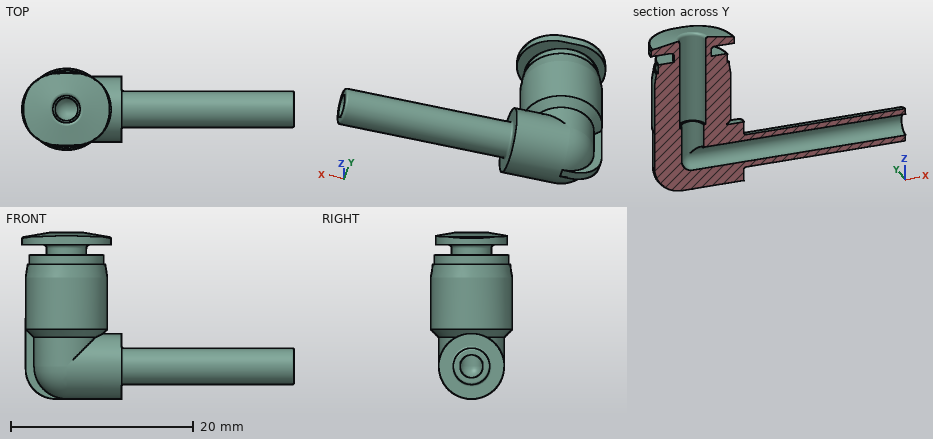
import cadquery as cq

elbow_radius = 3.603
elbow_face_x = 6.05

body_radius = 4.5
body_bottom_z = 4.07
body_top_z = 9.75
shoulder_z = 11.18
shoulder_radius = 4.28
collar_radius = 4.1
collar_top_z = 12.25
collar_edge = 0.1

neck_radius = 2.198
flare_radius = 0.4
flange_bottom_z = 13.35
flange_top_z = 14.695
flange_length = 9.8
flange_width = 7.9
flange_rim_radius = flange_length / 2
flange_rim_z = 14.05
flange_slope_radius = 4.72
flange_slope_z = 14.2
mouth_radius = 1.82

rib_width = 1.0
rib_corner_radius = 3.32

stem_radius = 2.0
stem_end_x = 29.9 - flange_length / 2
stem_fillet = 0.25

socket_bore_radius = 1.5
passage_radius = 1.25
bore_floor_z = body_bottom_z


def revolve_about_z(points):
    """Revolve a closed (radius, height) outline about the vertical axis."""
    outline = cq.Workplane("XZ").polyline(points).close()
    return outline.revolve(360, (0, 0, 0), (0, 1, 0))


def rod_along_x(radius, start_x, end_x):
    return cq.Workplane("YZ").workplane(offset=start_x).circle(radius).extrude(end_x - start_x)


def rod_along_z(radius, bottom_z, top_z):
    return cq.Workplane("XY").workplane(offset=bottom_z).circle(radius).extrude(top_z - bottom_z)


def make_bend(radius, top_z, end_x):
    """Vertical and horizontal rods joined by a ball at the corner."""
    vertical = rod_along_z(radius, 0, top_z)
    horizontal = rod_along_x(radius, 0, end_x)
    return vertical.union(horizontal).union(cq.Workplane("XY").sphere(radius))


def make_socket_body():
    cone_bottom_z = body_bottom_z - (body_radius - elbow_radius)
    return revolve_about_z([
        (0, cone_bottom_z),
        (elbow_radius, cone_bottom_z),
        (body_radius, body_bottom_z),
        (body_radius, body_top_z),
        (shoulder_radius, shoulder_z),
        (collar_radius, shoulder_z),
        (collar_radius, collar_top_z - collar_edge),
        (collar_radius - collar_edge, collar_top_z),
        (0, collar_top_z),
    ])


def make_button():
    neck_outline = (
        cq.Workplane("XZ")
        .moveTo(0, collar_top_z)
        .lineTo(neck_radius, collar_top_z)
        .lineTo(neck_radius, flange_bottom_z - flare_radius)
        .radiusArc((neck_radius + flare_radius, flange_bottom_z), flare_radius)
        .lineTo(0, flange_bottom_z)
        .close()
    )
    neck = neck_outline.revolve(360, (0, 0, 0), (0, 1, 0))
    disc = revolve_about_z([
        (0, flange_bottom_z),
        (flange_rim_radius, flange_bottom_z),
        (flange_rim_radius, flange_rim_z),
        (flange_slope_radius, flange_slope_z),
        (mouth_radius, flange_top_z),
        (0, flange_top_z),
    ])
    oval = (
        cq.Workplane("XY").workplane(offset=flange_bottom_z)
        .slot2D(flange_length, flange_width)
        .extrude(flange_top_z - flange_bottom_z)
    )
    return neck.union(disc.intersect(oval))


def make_rib():
    return (
        cq.Workplane("XZ")
        .moveTo(0, -elbow_radius)
        .lineTo(rib_corner_radius - body_radius, -elbow_radius)
        .radiusArc((-body_radius, rib_corner_radius - elbow_radius), rib_corner_radius)
        .lineTo(-body_radius, body_bottom_z)
        .lineTo(0, body_bottom_z)
        .close()
        .extrude(rib_width / 2, both=True)
    )


def make_stem():
    outline = (
        cq.Workplane("XY")
        .lineTo(0, stem_radius + stem_fillet)
        .lineTo(elbow_face_x, stem_radius + stem_fillet)
        .radiusArc((elbow_face_x + stem_fillet, stem_radius), -stem_fillet)
        .lineTo(stem_end_x - stem_fillet, stem_radius)
        .radiusArc((stem_end_x, stem_radius - stem_fillet), stem_fillet)
        .lineTo(stem_end_x, 0)
        .close()
    )
    return outline.revolve(360, (0, 0, 0), (1, 0, 0))


def make_passage():
    mouth_fillet = mouth_radius - socket_bore_radius
    bore_outline = (
        cq.Workplane("XZ")
        .moveTo(0, bore_floor_z)
        .lineTo(socket_bore_radius, bore_floor_z)
        .lineTo(socket_bore_radius, flange_top_z - mouth_fillet)
        .radiusArc((mouth_radius, flange_top_z), mouth_fillet)
        .lineTo(0, flange_top_z)
        .close()
    )
    socket_bore = bore_outline.revolve(360, (0, 0, 0), (0, 1, 0))
    return make_bend(passage_radius, bore_floor_z, stem_end_x).union(socket_bore)


result = (
    make_bend(elbow_radius, body_bottom_z, elbow_face_x)
    .union(make_socket_body())
    .union(make_button())
    .union(make_rib())
    .union(make_stem())
    .cut(make_passage())
)